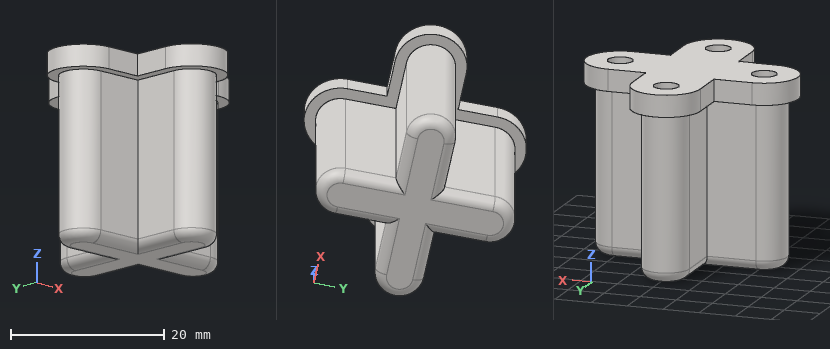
import cadquery as cq

overall_span = 29.5
overall_height = 26.0
arm_reach = 10.0
flange_thickness = 3.0
body_width = 6.5
bottom_fillet = 1.5
hole_diameter = 3.4
hole_depth = 14.75

flange_width = overall_span - 2 * arm_reach
body_height = overall_height - flange_thickness


def cross(arm_width, height, base_z):
    """Four-armed cross with full-round arm ends, rising from base_z."""
    arm_length = 2 * arm_reach + arm_width
    plane = cq.Workplane("XY").workplane(offset=base_z)
    arm_x = plane.slot2D(arm_length, arm_width).extrude(height)
    arm_y = plane.slot2D(arm_length, arm_width, angle=90).extrude(height)
    return arm_x.union(arm_y)


body = cross(body_width, body_height, 0).faces("<Z").edges().fillet(bottom_fillet)

flange = cross(flange_width, flange_thickness, body_height)

holes = (
    cq.Workplane("XY")
    .workplane(offset=overall_height)
    .polarArray(arm_reach, 0, 360, 4)
    .circle(hole_diameter / 2)
    .extrude(-hole_depth)
)

result = body.union(flange).cut(holes)